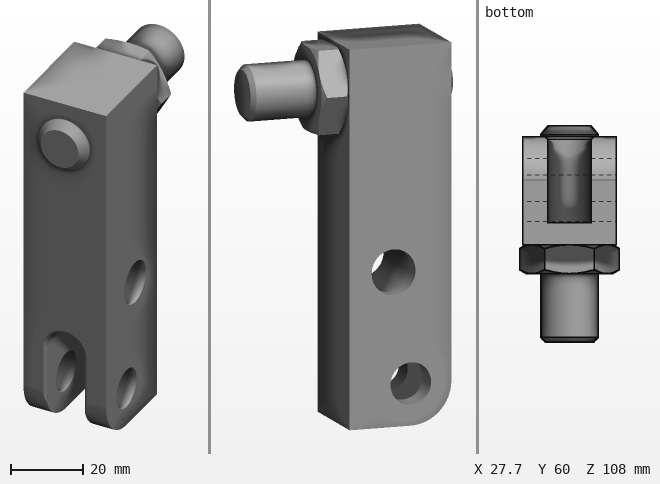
import cadquery as cq
import math

body_width = 26.0
body_depth = 30.0
body_height = 108.0
foot_radius = 12.0

pivot_diameter = 12.0
link_diameter = 13.0
link_y = 17.1
link_z = 44.0

slot_width = 12.0
slot_arc_z = 26.7
slot_depth = 2 * foot_radius
slot_chamfer = 0.8

stud_radius = 8.0
stud_axis_z = body_height - 13.0
stud_reach = 19.0
stud_chamfer = 1.3
head_height = 3.0
head_rim = 0.5
head_face_radius = 5.9

nut_across_flats = 24.0
nut_thickness = 8.0
nut_chamfer_angle = 30.0


def make_body():
    bar = cq.Workplane("XY").box(body_width, body_depth, body_height, centered=(True, False, False))
    return bar.edges("|X and <Y and <Z").fillet(foot_radius)


def cross_hole(diameter, y, z):
    return cq.Workplane("YZ").center(y, z).circle(diameter / 2).extrude(body_width, both=True)


def slot_section(half_width, y):
    """Closed outline of the slot at one depth, run past the foot so its end stays open."""
    below_foot = -slot_width
    return (
        cq.Workplane("XZ", origin=(0, y, 0))
        .moveTo(-half_width, below_foot)
        .lineTo(-half_width, slot_arc_z)
        .threePointArc((0, slot_arc_z + half_width), (half_width, slot_arc_z))
        .lineTo(half_width, below_foot)
        .close()
    )


def make_slot():
    half_width = slot_width / 2
    channel = slot_section(half_width, 0).extrude(-slot_depth)
    mouth_wire = slot_section(half_width + slot_chamfer, 0).val()
    throat_wire = slot_section(half_width, slot_chamfer).val()
    bevel = cq.Solid.makeLoft([mouth_wire, throat_wire], True)
    return channel.union(cq.Workplane(bevel))


def revolve_on_stud_axis(profile):
    """Turn a (radius, Y) profile about the stud axis."""
    turned = cq.Workplane("XY").polyline(profile).close().revolve(360, (0, 0), (0, 1))
    return turned.translate((0, 0, stud_axis_z))


def make_stud():
    tip_y = body_depth + nut_thickness + stud_reach
    return revolve_on_stud_axis([
        (0, -head_height),
        (head_face_radius, -head_height),
        (stud_radius, -head_rim),
        (stud_radius, tip_y - stud_chamfer),
        (stud_radius - stud_chamfer, tip_y),
        (0, tip_y),
    ])


def make_nut():
    face_radius = nut_across_flats / 2
    corner_radius = face_radius / math.cos(math.radians(30))
    bevel = (corner_radius - face_radius) * math.tan(math.radians(nut_chamfer_angle))
    back_y = body_depth + nut_thickness
    hexagon = (
        cq.Workplane("XZ", origin=(0, body_depth, stud_axis_z))
        .polygon(6, 2 * corner_radius)
        .extrude(-nut_thickness)
    )
    envelope = revolve_on_stud_axis([
        (0, body_depth),
        (face_radius, body_depth),
        (corner_radius, body_depth + bevel),
        (corner_radius, back_y - bevel),
        (face_radius, back_y),
        (0, back_y),
    ])
    return hexagon.intersect(envelope)


body = (
    make_body()
    .cut(cross_hole(pivot_diameter, foot_radius, foot_radius))
    .cut(cross_hole(link_diameter, link_y, link_z))
    .cut(make_slot())
)
result = body.union(make_stud()).union(make_nut())